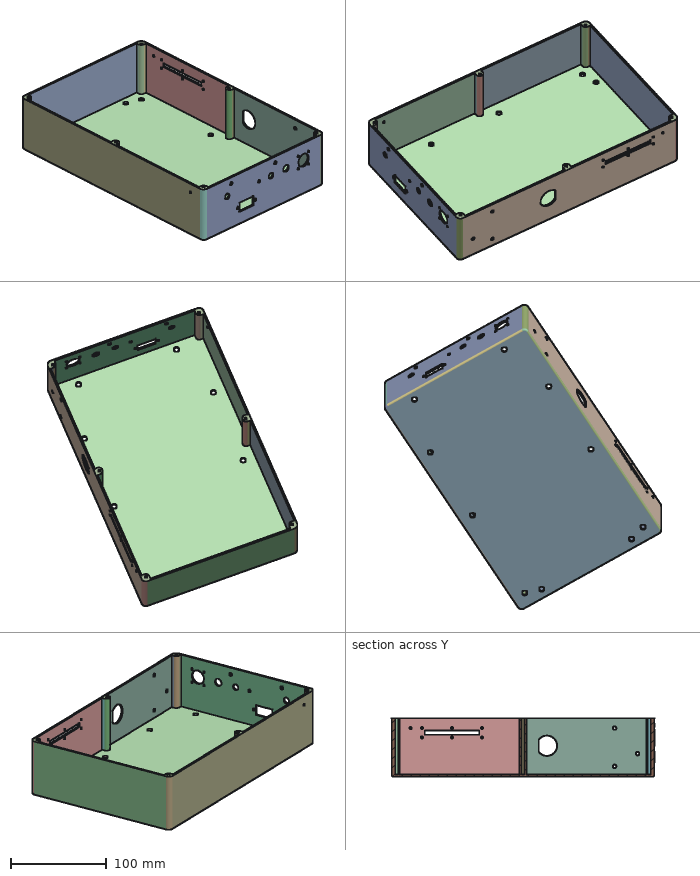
import cadquery as cq
import math

LENGTH = 275.0
WIDTH = 175.0
HEIGHT = 61.5
WALL = 1.8
FLOOR = 2.5
CORNER_RADIUS = 5.0
BOTTOM_FILLET = 2.0

HALF_LENGTH = LENGTH / 2
HALF_WIDTH = WIDTH / 2

POST_INSET = 4.8
POST_RADIUS = 4.0
SCREW_INSET = 5.5
SCREW_HOLE_DIAMETER = 2.5
POST_X = HALF_LENGTH - POST_INSET
POST_Y = HALF_WIDTH - POST_INSET
SCREW_X = HALF_LENGTH - SCREW_INSET
SCREW_Y = HALF_WIDTH - SCREW_INSET

FLOOR_HOLE_DIAMETER = 5.5
FLOOR_HOLE_ROW_Y = 72.5
FLOOR_HOLE_ROW_X = (-122.0, -17.5, 67.0)
FLOOR_HOLE_END_X = 127.5
FLOOR_HOLE_END_Y = 55.0

PILOT_X = 117.5
PILOT_Z = 51.0
PILOT_DIAMETER = 2.2

BACK_MOUNT_DIAMETER = 3.5
BACK_MOUNTS = ((95.7, 51.0), (119.7, 24.3), (95.7, 11.0))

ROUND_OPENING_X = 25.0
ROUND_OPENING_Z = 32.5
ROUND_OPENING_RADIUS = 10.5
ROUND_OPENING_FLAT = 8.3

SLOT_X = -74.2
SLOT_Z = 46.2
SLOT_LENGTH = 56.5
SLOT_HEIGHT = 4.2
SLOT_SCREW_PITCH_X = 31.4
SLOT_SCREW_PITCH_Z = 9.9
SLOT_SCREW_DIAMETER = 2.0

SOCKET_Y = 57.7
SOCKET_Z = 40.8
SOCKET_DIAMETER = 15.0
SOCKET_SCREW_PITCH = 15.0
SOCKET_SCREW_DIAMETER = 2.0

RIGHT_HOLES = (
    (32.3, 41.0, 8.0),
    (16.8, 53.9, 3.5),
    (10.5, 40.8, 6.5),
    (-6.8, 40.8, 3.0),
    (-47.2, 53.9, 3.5),
    (-53.0, 40.8, 6.5),
)

PORT_Y = -25.0
PORT_Z = 20.8
PORT_LENGTH = 20.5
PORT_HEIGHT = 11.0
PORT_SCREW_PITCH = 25.0
PORT_SCREW_DIAMETER = 3.0


def make_shell():
    """Box with rounded corners and underside, hollowed from the top."""
    outer = cq.Workplane("XY").box(LENGTH, WIDTH, HEIGHT, centered=(True, True, False))
    outer = outer.edges("|Z").fillet(CORNER_RADIUS)
    outer = outer.faces("<Z").edges().fillet(BOTTOM_FILLET)
    cavity = (
        cq.Workplane("XY")
        .workplane(offset=FLOOR)
        .rect(LENGTH - 2 * WALL, WIDTH - 2 * WALL)
        .extrude(HEIGHT)
        .edges("|Z")
        .fillet(CORNER_RADIUS - WALL)
    )
    return outer.cut(cavity)


def side_post(side):
    """Half-round post against the middle of the long wall on the given Y side."""
    reach = POST_INSET - WALL / 2
    post = cq.Workplane("XY").center(0, side * POST_Y).circle(POST_RADIUS).extrude(HEIGHT - FLOOR)
    web = (
        cq.Workplane("XY")
        .center(0, side * (POST_Y + reach / 2))
        .rect(2 * POST_RADIUS, reach)
        .extrude(HEIGHT - FLOOR)
    )
    return post.union(web).translate((0, 0, FLOOR))


def corner_post(side_x, side_y):
    """Post filling a corner of the cavity, rounded towards the middle of the box."""
    inner_x = side_x * (POST_X - POST_RADIUS)
    inner_y = side_y * (POST_Y - POST_RADIUS)
    outer_x = side_x * (HALF_LENGTH - WALL / 2)
    outer_y = side_y * (HALF_WIDTH - WALL / 2)
    arc_reach = POST_RADIUS * math.sqrt(0.5)
    arc_middle = (side_x * (POST_X - arc_reach), side_y * (POST_Y - arc_reach))
    block = (
        cq.Workplane("XY")
        .workplane(offset=FLOOR)
        .moveTo(outer_x, inner_y)
        .lineTo(side_x * POST_X, inner_y)
        .threePointArc(arc_middle, (inner_x, side_y * POST_Y))
        .lineTo(inner_x, outer_y)
        .lineTo(outer_x, outer_y)
        .close()
        .extrude(HEIGHT - FLOOR)
    )
    envelope = (
        cq.Workplane("XY").rect(LENGTH, WIDTH).extrude(HEIGHT).edges("|Z").fillet(CORNER_RADIUS)
    )
    return block.intersect(envelope)


def add_screw_posts(body):
    """Four corner posts and two side posts, each with a screw hole down to the floor."""
    for side_y in (-1, 1):
        body = body.union(side_post(side_y))
        for side_x in (-1, 1):
            body = body.union(corner_post(side_x, side_y))
    screws = [(sx * SCREW_X, sy * SCREW_Y) for sx in (-1, 0, 1) for sy in (-1, 1)]
    holes = (
        cq.Workplane("XY")
        .workplane(offset=FLOOR)
        .pushPoints(screws)
        .circle(SCREW_HOLE_DIAMETER / 2)
        .extrude(HEIGHT)
    )
    return body.cut(holes)


def floor_holes():
    """Cutters for the mounting holes through the floor."""
    points = []
    for side in (-1, 1):
        points += [(x, side * FLOOR_HOLE_ROW_Y) for x in FLOOR_HOLE_ROW_X]
        points += [(x, side * FLOOR_HOLE_END_Y) for x in (-FLOOR_HOLE_END_X, FLOOR_HOLE_END_X)]
    return cq.Workplane("XY").pushPoints(points).circle(FLOOR_HOLE_DIAMETER / 2).extrude(FLOOR)


def back_plane():
    """Sketch plane on the inner face of the back wall: local axes are X and Z, normal is -Y."""
    return cq.Workplane("XZ", origin=(0, HALF_WIDTH - WALL, 0))


def right_plane():
    """Sketch plane on the inner face of the right wall: local axes are Y and Z, normal is +X."""
    return cq.Workplane("YZ", origin=(HALF_LENGTH - WALL, 0, 0))


def back_holes(points, diameter):
    """Cutters for equal round holes through the back wall at the given (x, z) points."""
    return back_plane().pushPoints(points).circle(diameter / 2).extrude(-WALL)


def right_holes(points, diameter):
    """Cutters for equal round holes through the right wall at the given (y, z) points."""
    return right_plane().pushPoints(points).circle(diameter / 2).extrude(WALL)


def cut_front_wall(body):
    """Single pilot hole near the +X end of the front wall."""
    pilot = (
        cq.Workplane("XZ", origin=(0, -HALF_WIDTH, 0))
        .center(PILOT_X, PILOT_Z)
        .circle(PILOT_DIAMETER / 2)
        .extrude(-WALL)
    )
    return body.cut(pilot)


def cut_back_wall(body):
    """Pilot and mounting holes, the flatted round opening and the slot with its screw holes."""
    body = body.cut(back_holes([(-PILOT_X, PILOT_Z)], PILOT_DIAMETER))
    body = body.cut(back_holes(BACK_MOUNTS, BACK_MOUNT_DIAMETER))

    half_chord = math.sqrt(ROUND_OPENING_RADIUS**2 - ROUND_OPENING_FLAT**2)
    round_opening = (
        back_plane()
        .center(ROUND_OPENING_X, ROUND_OPENING_Z)
        .moveTo(-ROUND_OPENING_FLAT, half_chord)
        .threePointArc((ROUND_OPENING_RADIUS, 0), (-ROUND_OPENING_FLAT, -half_chord))
        .close()
        .extrude(-WALL)
    )
    body = body.cut(round_opening)

    slot = back_plane().center(SLOT_X, SLOT_Z).rect(SLOT_LENGTH, SLOT_HEIGHT).extrude(-WALL)
    slot_screws = [
        (SLOT_X + column * SLOT_SCREW_PITCH_X, SLOT_Z + row * SLOT_SCREW_PITCH_Z / 2)
        for column in (-1, 0, 1)
        for row in (-1, 1)
    ]
    return body.cut(slot).cut(back_holes(slot_screws, SLOT_SCREW_DIAMETER))


def cut_right_wall(body):
    """Socket opening, single round holes and the rectangular port with its screw holes."""
    half_pitch = SOCKET_SCREW_PITCH / 2
    socket_screws = [
        (SOCKET_Y + side * half_pitch, SOCKET_Z + level * half_pitch)
        for side in (-1, 1)
        for level in (-1, 1)
    ]
    body = body.cut(right_holes([(SOCKET_Y, SOCKET_Z)], SOCKET_DIAMETER))
    body = body.cut(right_holes(socket_screws, SOCKET_SCREW_DIAMETER))

    for y, z, diameter in RIGHT_HOLES:
        body = body.cut(right_holes([(y, z)], diameter))

    port = right_plane().center(PORT_Y, PORT_Z).rect(PORT_LENGTH, PORT_HEIGHT).extrude(WALL)
    port_screws = [(PORT_Y + side * PORT_SCREW_PITCH / 2, PORT_Z) for side in (-1, 1)]
    return body.cut(port).cut(right_holes(port_screws, PORT_SCREW_DIAMETER))


enclosure = add_screw_posts(make_shell())
enclosure = enclosure.cut(floor_holes())
enclosure = cut_front_wall(enclosure)
enclosure = cut_back_wall(enclosure)
result = cut_right_wall(enclosure)